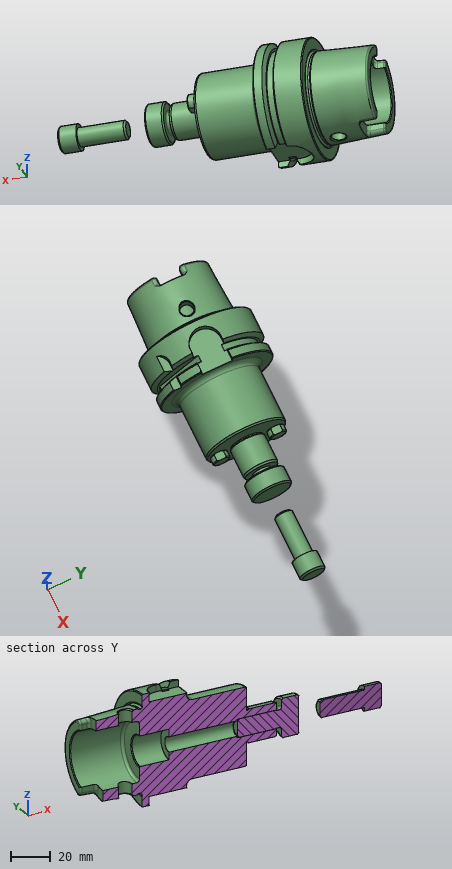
import cadquery as cq
TAPER_END_X = 29.5
TAPER_TAIL_DIA = 45.4
TAPER_RATIO = 10
TAIL_FILLET = 1.0
RELIEF_X = 30.3
RELIEF_END_X = 31.3
RELIEF_DIA = 47.1
RELIEF_FACE_DIA = 50.7
RELIEF_RISE = 1.0
RELIEF_DEPTH = 0.3

FLANGE_X = 32.0
FLANGE_END_X = 58.0
FLANGE_DIA = 63.0
FLANGE_CHAMFER = 0.5
GROOVE_X = 48.1
GROOVE_WIDTH = 3.5
GROOVE_DIA = 55.0
GROOVE_STEP_DIA = 57.5
GROOVE_SLOPE = 1.4

BODY_DIA = 44.5
BODY_END_X = 92.3
BODY_CHAMFER_LENGTH = 1.0
BODY_CHAMFER_DEPTH = 0.5
BODY_ROOT_FILLET = 3.0
PILOT_DIA = 19.2
PILOT_START_X = 93.5
PILOT_END_X = 109.7
PILOT_UNDERCUT_DIA = 18.0
PILOT_UNDERCUT_X = 93.0
PILOT_CHAMFER_LENGTH = 1.2
PILOT_CHAMFER_DEPTH = 0.5

TAIL_BORE_DIA = 34.0
TAIL_BORE_CHAMFER = 0.5
FIRST_BORE_ALLOWANCE = 1.5
TAIL_BORE_DEPTH = 30.6
TAIL_BORE_FILLET = 1.5
COOLANT_BORE_DIA = 16.8
COOLANT_BORE_CHAMFER = 0.5
COOLANT_BORE_DEPTH = 17.0
PASSAGE_DIA = 8.3

SLOT_WIDTH = 12.5
TOP_SLOT_DEPTH = 5.6
BOTTOM_SLOT_DEPTH = 9.5
SLOT_CORNER_FILLET = 1.5
SLOT_EDGE_FILLET = 2.0
CROSS_HOLE_X = 22.6
CROSS_HOLE_DIA = 7.5
CROSS_HOLE_CHAMFER = 0.7

KEYWAY_FLOOR = 26.5
TOP_KEYWAY_WIDTH = 17.0
BOTTOM_KEYWAY_WIDTH = 20.0
KEYWAY_START_X = 36.4
NOTCH_Y = 19.9
NOTCH_FLOOR = 20.2
NOTCH_STRAIGHT_X = 44.4
NOTCH_END_RADIUS = 7.1
FLAT_ANGLE = 48
FLAT_DISTANCE = 22.1

DRIVE_DIA = 9.5
DRIVE_FLATS = 8.0
DRIVE_CHAMFER = 0.5
DRIVE_HEIGHT = 4.3
DRIVE_OFFSET = 15.8

SHANK_DIA = 10.0
SCREW_TIP_LENGTH = 1.0
SCREW_TIP_DIA = 8.0
CLAMP_HEAD_X = 112.4
CLAMP_HEAD_END_X = 122.4
CLAMP_HEAD_DIA = 22.3
CLAMP_HEAD_CHAMFER = 0.9
CLAMP_NECK_FILLET = 1.4
CLAMP_SHANK_LENGTH = 25.5
SPARE_TIP_X = 134.5
SPARE_HEAD_X = 160.0
SPARE_END_X = 170.0
SPARE_HEAD_DIA = 14.1
SPARE_HEAD_CHAMFER = 1.0

CLAMP_TIP_X = CLAMP_HEAD_X - CLAMP_SHANK_LENGTH


def revolve_about_x(profile):
    """Full turn about the X axis of a closed profile drawn as (x, radius)."""
    return profile.close().revolve(360, (0, 0, 0), (1, 0, 0))


def rod(start_x, end_x, diameter):
    """Plain round rod on the X axis."""
    length = end_x - start_x
    return cq.Workplane("YZ", origin=(start_x, 0, 0)).circle(diameter / 2).extrude(length)


def make_blank():
    """Outside of the holder: taper, flange, body and pilot."""
    tail_r = TAPER_TAIL_DIA / 2
    taper_r = tail_r + TAPER_END_X / TAPER_RATIO / 2
    relief_r = RELIEF_DIA / 2
    flange_r = FLANGE_DIA / 2
    groove_r = GROOVE_DIA / 2
    step_r = GROOVE_STEP_DIA / 2
    groove_end_x = GROOVE_X + GROOVE_WIDTH
    body_r = BODY_DIA / 2
    undercut_r = PILOT_UNDERCUT_DIA / 2
    pilot_r = PILOT_DIA / 2
    profile = (
        cq.Workplane("XY")
        .moveTo(0, 0)
        .lineTo(0, tail_r)
        .lineTo(TAPER_END_X, taper_r)
        .lineTo(RELIEF_X, relief_r)
        .lineTo(RELIEF_END_X, relief_r)
        .lineTo(FLANGE_X + RELIEF_DEPTH, relief_r + RELIEF_RISE)
        .lineTo(FLANGE_X, RELIEF_FACE_DIA / 2)
        .lineTo(FLANGE_X, flange_r - FLANGE_CHAMFER)
        .lineTo(FLANGE_X + FLANGE_CHAMFER, flange_r)
        .lineTo(GROOVE_X - GROOVE_SLOPE, flange_r)
        .lineTo(GROOVE_X, step_r)
        .lineTo(GROOVE_X, groove_r)
        .lineTo(groove_end_x, groove_r)
        .lineTo(groove_end_x, step_r)
        .lineTo(groove_end_x + GROOVE_SLOPE, flange_r)
        .lineTo(FLANGE_END_X - FLANGE_CHAMFER, flange_r)
        .lineTo(FLANGE_END_X, flange_r - FLANGE_CHAMFER)
        .lineTo(FLANGE_END_X, body_r + BODY_ROOT_FILLET)
        .radiusArc((FLANGE_END_X + BODY_ROOT_FILLET, body_r), -BODY_ROOT_FILLET)
        .lineTo(BODY_END_X - BODY_CHAMFER_LENGTH, body_r)
        .lineTo(BODY_END_X, body_r - BODY_CHAMFER_DEPTH)
        .lineTo(BODY_END_X, undercut_r)
        .lineTo(PILOT_UNDERCUT_X, undercut_r)
        .lineTo(PILOT_START_X, pilot_r)
        .lineTo(PILOT_END_X - PILOT_CHAMFER_LENGTH, pilot_r)
        .lineTo(PILOT_END_X, pilot_r - PILOT_CHAMFER_DEPTH)
        .lineTo(PILOT_END_X, 0)
    )
    return revolve_about_x(profile)


def make_tail_bore():
    """Stepped bore entering from the tail, ending in a passage to the screw hole."""
    bore_r = TAIL_BORE_DIA / 2
    coolant_r = COOLANT_BORE_DIA / 2
    passage_r = PASSAGE_DIA / 2
    coolant_end_x = TAIL_BORE_DEPTH + COOLANT_BORE_DEPTH
    profile = (
        cq.Workplane("XY")
        .moveTo(0, 0)
        .lineTo(0, bore_r + TAIL_BORE_CHAMFER)
        .lineTo(TAIL_BORE_CHAMFER, bore_r)
        .lineTo(TAIL_BORE_DEPTH - TAIL_BORE_FILLET, bore_r)
        .radiusArc((TAIL_BORE_DEPTH, bore_r - TAIL_BORE_FILLET), TAIL_BORE_FILLET)
        .lineTo(TAIL_BORE_DEPTH, coolant_r + COOLANT_BORE_CHAMFER)
        .lineTo(TAIL_BORE_DEPTH + COOLANT_BORE_CHAMFER, coolant_r)
        .lineTo(coolant_end_x, coolant_r)
        .lineTo(coolant_end_x, passage_r)
        .lineTo(CLAMP_TIP_X, passage_r)
        .lineTo(CLAMP_TIP_X, 0)
    )
    return revolve_about_x(profile)


def make_drive_slot(side, depth):
    """Slot across the tail wall; side is +1 for the top and -1 for the bottom."""
    height = TAPER_TAIL_DIA
    slot = cq.Workplane("XY").box(2 * depth, SLOT_WIDTH, height, centered=(True, True, False))
    return slot.translate((0, 0, 0 if side > 0 else -height))


def make_keyway(side, width):
    """Round-ended keyway through the groove and out of the flange end."""
    radius = width / 2
    depth = FLANGE_DIA / 2 - KEYWAY_FLOOR
    centre_x = KEYWAY_START_X + radius
    base_z = KEYWAY_FLOOR if side > 0 else -KEYWAY_FLOOR - depth
    return (
        cq.Workplane("XY", origin=(0, 0, base_z))
        .moveTo(FLANGE_END_X, -radius)
        .lineTo(centre_x, -radius)
        .threePointArc((KEYWAY_START_X, 0), (centre_x, radius))
        .lineTo(FLANGE_END_X, radius)
        .close()
        .extrude(depth)
    )


def make_notch():
    """Corner notch in the flange with a vertical cylindrical end."""
    outer_y = -FLANGE_DIA / 2
    tangent_y = -NOTCH_Y
    side_y = tangent_y - NOTCH_END_RADIUS
    return (
        cq.Workplane("XY", origin=(0, 0, NOTCH_FLOOR))
        .moveTo(FLANGE_END_X, tangent_y)
        .lineTo(NOTCH_STRAIGHT_X, tangent_y)
        .radiusArc((NOTCH_STRAIGHT_X - NOTCH_END_RADIUS, side_y), -NOTCH_END_RADIUS)
        .lineTo(NOTCH_STRAIGHT_X - NOTCH_END_RADIUS, outer_y)
        .lineTo(FLANGE_END_X, outer_y)
        .close()
        .extrude(FLANGE_DIA / 2 - NOTCH_FLOOR)
    )


def make_groove_flat():
    """Block whose inner face leaves a tilted flat on the groove floor."""
    depth = GROOVE_DIA / 2 - FLAT_DISTANCE
    return (
        cq.Workplane("XY")
        .box(GROOVE_WIDTH, GROOVE_DIA, depth, centered=(False, True, False))
        .translate((GROOVE_X, 0, FLAT_DISTANCE))
        .rotate((0, 0, 0), (1, 0, 0), FLAT_ANGLE)
    )


def make_cross_hole():
    """Hole through both tail walls, chamfered where it meets the taper at the top and bottom."""
    radius = CROSS_HOLE_DIA / 2
    surface_z = (TAPER_TAIL_DIA + CROSS_HOLE_X / TAPER_RATIO) / 2
    mouth_r = radius + CROSS_HOLE_CHAMFER
    half = (
        cq.Workplane("XZ")
        .moveTo(0, 0)
        .lineTo(radius, 0)
        .lineTo(radius, surface_z - CROSS_HOLE_CHAMFER)
        .lineTo(mouth_r, surface_z)
        .lineTo(mouth_r, TAPER_TAIL_DIA)
        .lineTo(0, TAPER_TAIL_DIA)
        .close()
        .revolve(360, (0, 0, 0), (0, 1, 0))
    )
    return half.union(half.mirror("XY")).translate((CROSS_HOLE_X, 0, 0))


def round_tail_edges(shank):
    """Round the outer edges and inner corners of the drive slots, then the rim of the tail face."""
    wall_y = SLOT_WIDTH / 2
    margin = 0.2
    outer_edges = []
    for side in (1, -1):
        low = (margin, side * wall_y - margin, -TAPER_TAIL_DIA)
        high = (BOTTOM_SLOT_DEPTH, side * wall_y + margin, TAPER_TAIL_DIA)
        wall_edges = shank.edges(cq.selectors.BoxSelector(low, high)).vals()
        outer_edges += [edge for edge in wall_edges if edge.geomType() == "HYPERBOLA"]
    shank = shank.newObject(outer_edges).fillet(SLOT_EDGE_FILLET)

    corners = []
    for side, depth in ((1, TOP_SLOT_DEPTH), (-1, BOTTOM_SLOT_DEPTH)):
        low = (depth - margin, -wall_y - margin, -TAPER_TAIL_DIA if side < 0 else 0)
        high = (depth + margin, wall_y + margin, TAPER_TAIL_DIA if side > 0 else 0)
        corners += shank.edges(cq.selectors.BoxSelector(low, high)).edges("|Z").vals()
    shank = shank.newObject(corners).fillet(SLOT_CORNER_FILLET)
    return shank.faces("<X").edges().fillet(TAIL_FILLET)


def make_housing():
    """Holder with taper shank, flange, body and pilot."""
    first_bore = rod(0, TAIL_BORE_DEPTH, TAIL_BORE_DIA - 2 * FIRST_BORE_ALLOWANCE)
    housing = make_blank().cut(first_bore)
    for side, depth in ((1, TOP_SLOT_DEPTH), (-1, BOTTOM_SLOT_DEPTH)):
        housing = housing.cut(make_drive_slot(side, depth))
    housing = round_tail_edges(housing)
    housing = housing.cut(make_tail_bore()).cut(make_cross_hole())
    for side, width in ((1, TOP_KEYWAY_WIDTH), (-1, BOTTOM_KEYWAY_WIDTH)):
        housing = housing.cut(make_keyway(side, width))
    housing = housing.cut(make_notch()).cut(make_groove_flat())
    return housing.cut(rod(CLAMP_TIP_X, PILOT_END_X, SHANK_DIA))


def make_drive_screw(side):
    """Round head with two flats, facing up and down, standing on the body end face."""
    head = (
        cq.Workplane("YZ", origin=(BODY_END_X, side * DRIVE_OFFSET, 0))
        .circle(DRIVE_DIA / 2)
        .extrude(DRIVE_HEIGHT)
        .edges()
        .chamfer(DRIVE_CHAMFER)
    )
    flats = (
        cq.Workplane("YZ", origin=(BODY_END_X, side * DRIVE_OFFSET, 0))
        .rect(DRIVE_DIA, DRIVE_FLATS)
        .extrude(DRIVE_HEIGHT)
    )
    return head.intersect(flats)


def make_clamp_screw():
    """Screw whose shank fills the hole in the pilot, with a wide chamfered head."""
    shank_r = SHANK_DIA / 2
    neck_x = CLAMP_HEAD_X - CLAMP_NECK_FILLET
    profile = (
        cq.Workplane("XY")
        .moveTo(CLAMP_TIP_X, 0)
        .lineTo(CLAMP_TIP_X, SCREW_TIP_DIA / 2)
        .lineTo(CLAMP_TIP_X + SCREW_TIP_LENGTH, shank_r)
        .lineTo(neck_x, shank_r)
        .radiusArc((CLAMP_HEAD_X, shank_r + CLAMP_NECK_FILLET), -CLAMP_NECK_FILLET)
        .lineTo(CLAMP_HEAD_X, CLAMP_HEAD_DIA / 2 - CLAMP_HEAD_CHAMFER)
        .lineTo(CLAMP_HEAD_X + CLAMP_HEAD_CHAMFER, CLAMP_HEAD_DIA / 2)
        .lineTo(CLAMP_HEAD_END_X - CLAMP_HEAD_CHAMFER, CLAMP_HEAD_DIA / 2)
        .lineTo(CLAMP_HEAD_END_X, CLAMP_HEAD_DIA / 2 - CLAMP_HEAD_CHAMFER)
        .lineTo(CLAMP_HEAD_END_X, 0)
    )
    return revolve_about_x(profile)


def make_spare_screw():
    """Cap screw standing clear of the holder on the same axis."""
    shank_r = SHANK_DIA / 2
    head_r = SPARE_HEAD_DIA / 2
    profile = (
        cq.Workplane("XY")
        .moveTo(SPARE_TIP_X, 0)
        .lineTo(SPARE_TIP_X, SCREW_TIP_DIA / 2)
        .lineTo(SPARE_TIP_X + SCREW_TIP_LENGTH, shank_r)
        .lineTo(SPARE_HEAD_X, shank_r)
        .lineTo(SPARE_HEAD_X, head_r)
        .lineTo(SPARE_END_X - SPARE_HEAD_CHAMFER, head_r)
        .lineTo(SPARE_END_X, head_r - SPARE_HEAD_CHAMFER)
        .lineTo(SPARE_END_X, 0)
    )
    return revolve_about_x(profile)


housing = make_housing()
drive_screws = [make_drive_screw(side) for side in (1, -1)]
clamp_screw = make_clamp_screw()
spare_screw = make_spare_screw()

result = cq.Compound.makeCompound(
    [
        housing.val(),
        *[screw.val() for screw in drive_screws],
        clamp_screw.val(),
        spare_screw.val(),
    ]
)